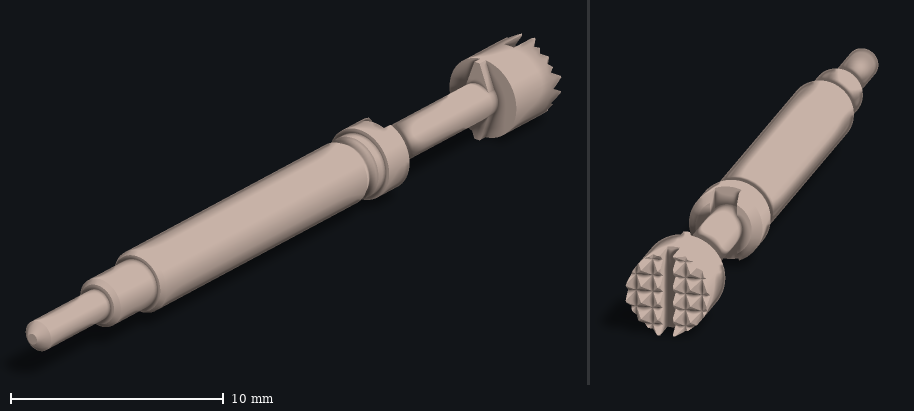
import cadquery as cq
import math


total_length = 38.0
crown_tip_y = 13.0
tail_tip_y = crown_tip_y - total_length

head_radius = 1.995
head_length = 3.55
slot_width = 0.6
slot_depth = 1.55
tooth_angle = 60.0
teeth_across = 6
tooth_pitch = 2 * head_radius / (teeth_across - 1)

ridge_height = 0.45
ridge_end_width = 0.3

rod_radius = 0.9

collar_radius = 1.8
collar_length = 1.98
collar_chamfer = 0.4
notch_width = 1.3
notch_depth = 0.9

barrel_radius = 1.55
barrel_length = 17.02
barrel_chamfer_length = 0.25
barrel_chamfer_depth = 0.15
groove_start = 0.55
groove_width = 0.85
groove_depth = 0.23
groove_bottom_offset = 0.3
groove_arc_width = 0.45
groove_arc_end_depth = 0.2

sleeve_radius = 1.2
sleeve_length = 3.0
sleeve_chamfer = 0.23
pin_radius = 0.75
pin_tip_radius = 0.25
pin_tip_length = 0.45

head_base_y = crown_tip_y - head_length


def cylinder(radius, start_y, end_y):
    """Solid cylinder on the probe axis between two Y positions."""
    plane = cq.Workplane("XZ", origin=(0, end_y, 0))
    return plane.circle(radius).extrude(end_y - start_y)


def tooth_valleys():
    """V-shaped valleys running along Z, spaced one pitch apart across X."""
    depth = tooth_pitch / 2 / math.tan(math.radians(tooth_angle / 2))
    valleys = cq.Workplane("XY")
    for index in range(teeth_across - 1):
        x = (index - (teeth_across - 2) / 2) * tooth_pitch
        valley = (
            cq.Workplane("XY")
            .moveTo(x - tooth_pitch / 2, crown_tip_y)
            .lineTo(x + tooth_pitch / 2, crown_tip_y)
            .lineTo(x, crown_tip_y - depth)
            .close()
            .extrude(2 * head_radius, both=True)
        )
        valleys = valleys.add(valley)
    return valleys.combine()


def crown_head():
    """Head with a grid of pyramid teeth and one slot across it along Z."""
    head = cylinder(head_radius, head_base_y, crown_tip_y)
    valleys = tooth_valleys()
    crossing_valleys = valleys.rotate((0, 0, 0), (0, 1, 0), 90)
    slot = cq.Workplane("XY").box(slot_width, 2 * slot_depth, 3 * head_radius)
    slot = slot.translate((0, crown_tip_y, 0))
    return head.cut(valleys).cut(crossing_valleys).cut(slot)


def head_ridge():
    """Ridge across the underside of the head, as wide as the rod in the middle and narrow at the rim."""
    half_end = ridge_end_width / 2
    blank = (
        cq.Workplane("XZ", origin=(0, head_base_y, 0))
        .polyline([
            (rod_radius, 0),
            (half_end, head_radius),
            (-half_end, head_radius),
            (-rod_radius, 0),
            (-half_end, -head_radius),
            (half_end, -head_radius),
        ])
        .close()
        .extrude(ridge_height)
    )
    return blank.intersect(cylinder(head_radius, head_base_y - ridge_height, head_base_y))


def collar():
    """Chamfered collar with a notch across its end along Z."""
    body = cylinder(collar_radius, 0, collar_length).faces(">Y").chamfer(collar_chamfer)
    notch = cq.Workplane("XY").box(notch_width, 2 * notch_depth, 3 * collar_radius)
    return body.cut(notch.translate((0, collar_length, 0)))


def barrel_and_tail():
    """Revolved barrel with a crimp groove, then the sleeve and the tail pin.

    The groove is an arc that runs out along a straight slope.
    """
    groove_end = groove_start + groove_width
    sleeve_end = barrel_length + sleeve_length
    return (
        cq.Workplane("XY")
        .moveTo(0, 0)
        .lineTo(barrel_radius, 0)
        .lineTo(barrel_radius, -groove_start)
        .threePointArc(
            (barrel_radius - groove_depth, -groove_start - groove_bottom_offset),
            (barrel_radius - groove_arc_end_depth, -groove_start - groove_arc_width),
        )
        .lineTo(barrel_radius, -groove_end)
        .lineTo(barrel_radius, -barrel_length + barrel_chamfer_length)
        .lineTo(barrel_radius - barrel_chamfer_depth, -barrel_length)
        .lineTo(sleeve_radius, -barrel_length)
        .lineTo(sleeve_radius, -sleeve_end + sleeve_chamfer)
        .lineTo(sleeve_radius - sleeve_chamfer, -sleeve_end)
        .lineTo(pin_radius, -sleeve_end)
        .lineTo(pin_radius, tail_tip_y + pin_tip_length)
        .lineTo(pin_tip_radius, tail_tip_y)
        .lineTo(0, tail_tip_y)
        .close()
        .revolve(360, (0, 0, 0), (0, 1, 0))
    )


rod = cylinder(rod_radius, 0, head_base_y)

result = barrel_and_tail().union(collar()).union(rod).union(head_ridge()).union(crown_head())